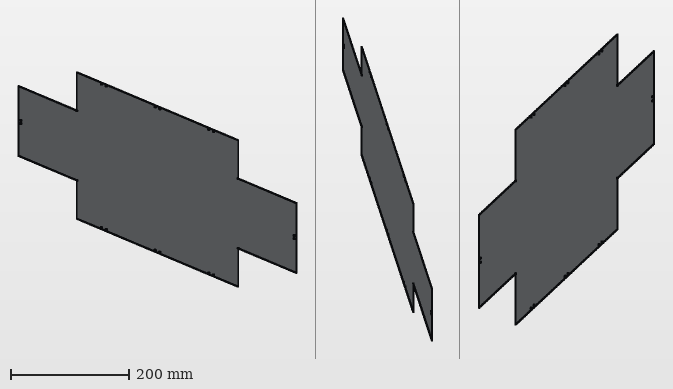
import cadquery as cq

length = 530.0
height = 426.0
thickness = 1.0
body_width = 308.0
arm_height = 203.0

relief_diameter = 2.5

hole_diameter = 3.0
hole_spacing = 9.0
pair_pitch = 102.5
flap_hole_inset = 4.0
arm_hole_inset = 4.0

flap_hole_z = height / 2 - flap_hole_inset
arm_hole_x = length / 2 - arm_hole_inset


def plate(width, tall):
    return cq.Workplane("XZ").rect(width, tall).extrude(thickness / 2, both=True)


def cylinders(points, diameter):
    """Cutters that pass through the sheet at the given (x, z) points."""
    return (
        cq.Workplane("XZ")
        .pushPoints(points)
        .circle(diameter / 2)
        .extrude(thickness, both=True)
    )


def flap_hole_points():
    """Three horizontal pairs near the top edge and three near the bottom edge."""
    return [
        (pair * pair_pitch + side * hole_spacing / 2, end * flap_hole_z)
        for end in (-1, 1)
        for pair in (-1, 0, 1)
        for side in (-1, 1)
    ]


def arm_hole_points():
    """One vertical pair near the end of each side arm."""
    return [
        (end * arm_hole_x, side * hole_spacing / 2)
        for end in (-1, 1)
        for side in (-1, 1)
    ]


def relief_points():
    return [
        (x_side * body_width / 2, z_side * arm_height / 2)
        for x_side in (-1, 1)
        for z_side in (-1, 1)
    ]


sheet = plate(length, arm_height).union(plate(body_width, height)).clean()
sheet = sheet.cut(cylinders(relief_points(), relief_diameter))
result = sheet.cut(cylinders(flap_hole_points() + arm_hole_points(), hole_diameter))